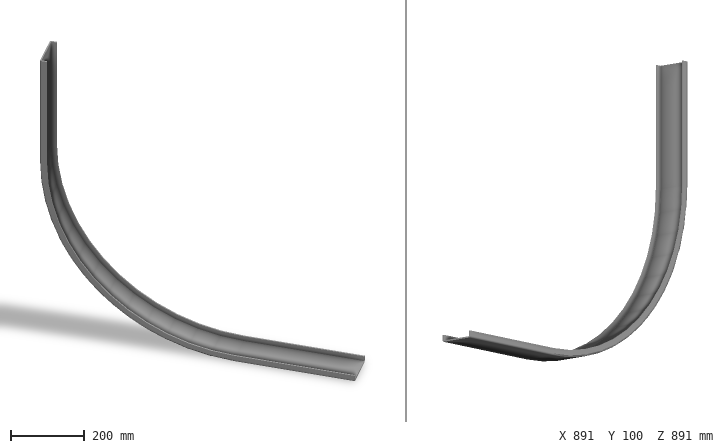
import cadquery as cq

overall_size = 891.0
channel_width = 100.0
flange_height = 20.0
sheet_thickness = 4.0
fold_radius = 4.5
straight_length = 342.0

half_size = overall_size / 2
half_width = channel_width / 2
bend_radius = overall_size - straight_length


def rounded_section(half_span, depth, corner_radius):
    """Solid cross-section at the top of the upright leg, rounded on its web side."""
    outer_x = -half_size + flange_height - depth
    open_x = -half_size + flange_height
    section = (
        cq.Workplane("XY", origin=(0, 0, half_size))
        .moveTo(open_x, -half_span)
        .lineTo(outer_x + corner_radius, -half_span)
        .radiusArc((outer_x, -half_span + corner_radius), corner_radius)
        .lineTo(outer_x, half_span - corner_radius)
        .radiusArc((outer_x + corner_radius, half_span), corner_radius)
        .lineTo(open_x, half_span)
        .close()
    )
    return section


def sweep_along_bend(section):
    """Sweep a section down the upright leg, round the bend and along the level leg."""
    path = (
        cq.Workplane("XZ")
        .moveTo(-half_size, half_size)
        .lineTo(-half_size, half_size - straight_length)
        .radiusArc((half_size - straight_length, -half_size), -bend_radius)
        .lineTo(half_size, -half_size)
    )
    return section.sweep(path)


envelope = sweep_along_bend(rounded_section(half_width, flange_height, fold_radius))
hollow = sweep_along_bend(
    rounded_section(
        half_width - sheet_thickness,
        flange_height - sheet_thickness,
        fold_radius - sheet_thickness,
    )
)

result = envelope.cut(hollow)